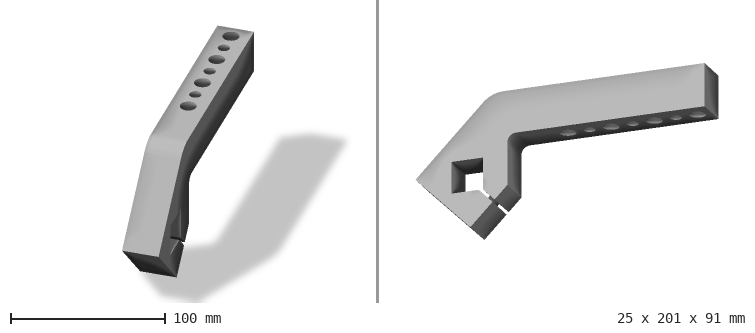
import cadquery as cq
import math

width = 25.0
length = 201.0
height = 91.0
bar_thickness = 30.0

head_end_run = 38.2
tip_z = head_end_run - height
inner_wall_y = 64.0
outer_bend_radius = 20.1
inner_bend_radius = 6.0

socket_size = 22.0
socket_front_y = 25.0
socket_top_z = -44.0
socket_back_y = socket_front_y + socket_size
socket_bottom_z = socket_top_z - socket_size
slot_width = 2.0
slot_length = 20.1
slot_overlap = 2.0
screw_diameter = 8.0
screw_from_socket = 4.8
screw_embed = 2.0

large_hole_diameter = 11.0
small_hole_diameter = 8.0
hole_count = 7
first_hole_from_end = 9.9
hole_row_span = 90.0


def make_body():
    """Bent bar with a 45 degree head, extruded across the width."""
    inner_wall_bottom_z = -height + (inner_wall_y - head_end_run)
    outline = [
        (length, 0),
        (-tip_z, 0),
        (0, tip_z),
        (head_end_run, -height),
        (inner_wall_y, inner_wall_bottom_z),
        (inner_wall_y, -bar_thickness),
        (length, -bar_thickness),
    ]
    body = cq.Workplane("YZ").polyline(outline).close().extrude(width / 2, both=True)
    outer_bend = cq.selectors.NearestToPointSelector((0, -tip_z, 0))
    inner_bend = cq.selectors.NearestToPointSelector((0, inner_wall_y, -bar_thickness))
    body = body.edges("|X").edges(outer_bend).fillet(outer_bend_radius)
    return body.edges("|X").edges(inner_bend).fillet(inner_bend_radius)


def make_socket():
    return cq.Workplane("XY").box(width, socket_size, socket_size).translate(
        (0, socket_back_y - socket_size / 2, socket_bottom_z + socket_size / 2)
    )


def slot_frame():
    """Plane on the slot's middle: local x runs outward, normal points across the slot."""
    diagonal = math.sqrt(0.5)
    half_offset = slot_width / 2 * diagonal
    origin = (0, socket_back_y - half_offset, socket_bottom_z - half_offset)
    return cq.Plane(origin=origin, xDir=(0, diagonal, -diagonal), normal=(0, diagonal, diagonal))


def make_slot():
    return (
        cq.Workplane(slot_frame())
        .center((slot_length - slot_overlap) / 2, 0)
        .rect(slot_length + slot_overlap, width)
        .extrude(slot_width / 2, both=True)
    )


def make_screw():
    """Clamping screw that bridges the slot, square to its walls."""
    return (
        cq.Workplane(slot_frame())
        .center(screw_from_socket, 0)
        .circle(screw_diameter / 2)
        .extrude(slot_width / 2 + screw_embed, both=True)
    )


def make_holes():
    pitch = hole_row_span / (hole_count - 1)
    holes = cq.Workplane("XY")
    for index in range(hole_count):
        diameter = large_hole_diameter if index % 2 == 0 else small_hole_diameter
        hole_y = length - first_hole_from_end - index * pitch
        hole = cq.Workplane("XY").center(0, hole_y).circle(diameter / 2).extrude(-bar_thickness)
        holes = holes.add(hole)
    return holes.combine()


result = make_body().cut(make_socket()).cut(make_slot()).union(make_screw()).cut(make_holes())